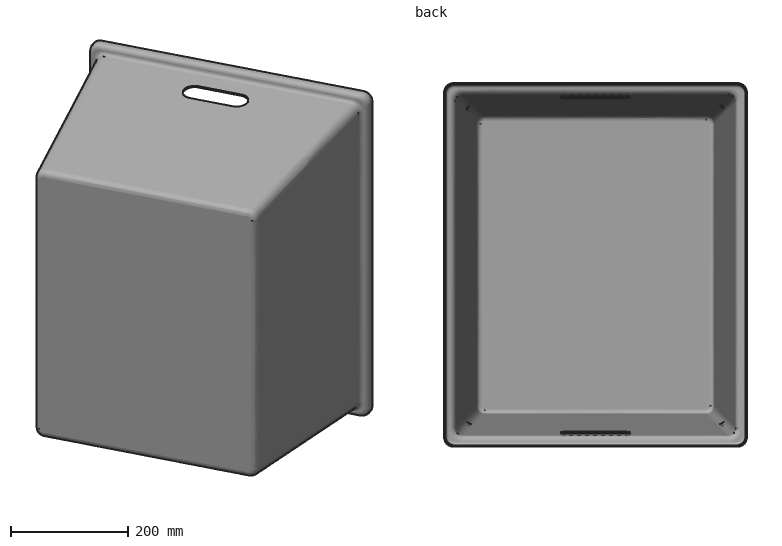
import cadquery as cq
import math

RIM_X = 517.0
RIM_Z = 620.5
DEPTH = 388.0
WALL = 3.0

FLOOR_X = 407.5
FLOOR_Z = 511.0
DRAFT = math.radians(6)
SIDE_EDGE_RADIUS = 16.0
FLOOR_EDGE_RADIUS = 10.5

RIM_DEPTH = 18.0
RIM_CORNER_RADIUS = 17.5
RIM_EDGE_RADIUS = 9.0
RIM_ROOT_RADIUS = 7.0

SLOT_LENGTH = 118.0
SLOT_WIDTH = 38.5
SLOT_FROM_MOUTH = 76.0

FLOOR_Y = -DEPTH / 2
MOUTH_Y = DEPTH / 2


def tapered_body(inset):
    """Solid tapered tub without its rim, its floor and sides moved inward by inset."""
    floor_y = FLOOR_Y + inset
    floor_growth = 2 * (inset * math.tan(DRAFT) - inset / math.cos(DRAFT))
    mouth_growth = floor_growth + 2 * (MOUTH_Y - floor_y) * math.tan(DRAFT)
    body = (
        cq.Workplane("XZ", origin=(0, MOUTH_Y, 0))
        .rect(FLOOR_X + mouth_growth, FLOOR_Z + mouth_growth)
        .workplane(offset=MOUTH_Y - floor_y)
        .rect(FLOOR_X + floor_growth, FLOOR_Z + floor_growth)
        .loft(ruled=True)
    )
    body = body.edges("not(|X or |Z)").fillet(SIDE_EDGE_RADIUS - inset)
    return body.faces("<Y").edges().fillet(FLOOR_EDGE_RADIUS - inset)


def rim_block(inset):
    """Solid rim slab with rounded corners and front edge, moved inward by inset."""
    slab = (
        cq.Workplane("XZ", origin=(0, MOUTH_Y, 0))
        .rect(RIM_X - 2 * inset, RIM_Z - 2 * inset)
        .extrude(RIM_DEPTH - inset)
    )
    slab = slab.edges("|Y").fillet(RIM_CORNER_RADIUS - inset)
    return slab.faces("<Y").edges().fillet(RIM_EDGE_RADIUS - inset)


def tub_form(inset):
    """Solid tub and rim, joined with a rounded root."""
    form = tapered_body(inset).union(rim_block(inset))
    ledge = form.faces("|Y").faces(">Y[-2]").val()
    root_edges = ledge.innerWires()[0].Edges()
    return form.newObject(root_edges).fillet(RIM_ROOT_RADIUS + inset)


def hand_slots():
    """Obround cutter running along Z through both end walls."""
    return (
        cq.Workplane("XY")
        .center(0, MOUTH_Y - SLOT_FROM_MOUTH)
        .slot2D(SLOT_LENGTH, SLOT_WIDTH)
        .extrude(RIM_Z, both=True)
    )


tub = tub_form(0).cut(tub_form(WALL))
result = tub.cut(hand_slots()).solids()